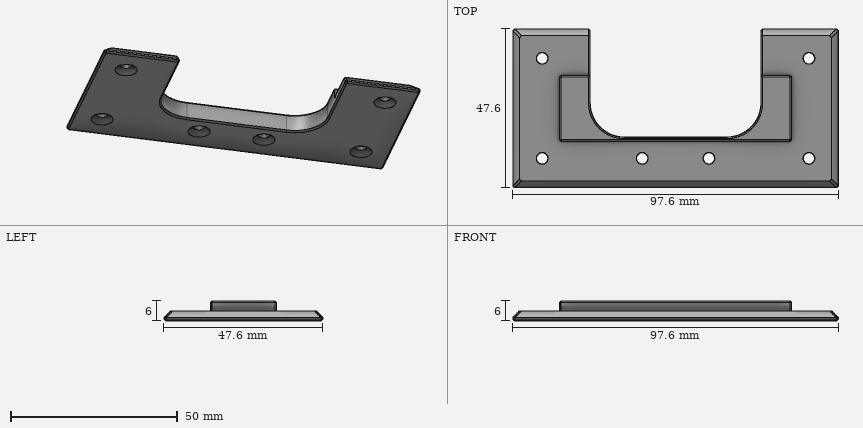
import cadquery as cq

plate_length = 97.6
plate_width = 47.6
plate_thickness = 3.0
plate_bevel = 2.0

collar_length = 69.6
collar_width = 19.8
collar_height = 3.0

opening_width = 51.2
opening_floor_y = -8.6
opening_corner_radius = 10.2

edge_break = 0.5

hole_diameter = 3.4
countersink_diameter = 6.6
outer_hole_x = 40.0
inner_hole_x = 10.0
hole_row_y = 15.0

total_height = plate_thickness + collar_height


def make_plate():
    """Rectangular plate with a wide bevel on top and broken corners."""
    plate = cq.Workplane("XY").box(
        plate_length, plate_width, plate_thickness, centered=(True, True, False)
    )
    plate = plate.faces(">Z").chamfer(plate_bevel)
    return plate.edges("not #Z").chamfer(edge_break)


def make_collar():
    """Raised block with broken upright edges, standing on the plate."""
    collar = cq.Workplane("XY").workplane(offset=plate_thickness)
    collar = collar.box(collar_length, collar_width, collar_height, centered=(True, True, False))
    return collar.edges("|Z").chamfer(edge_break)


def make_opening():
    """Cutter for the opening: rounded at the floor, running out past the +Y edge."""
    depth = plate_width - opening_floor_y
    cutter = cq.Workplane("XY").box(
        opening_width, depth, total_height, centered=(True, False, False)
    )
    cutter = cutter.translate((0, opening_floor_y, 0))
    return cutter.edges("|Z and <Y").fillet(opening_corner_radius)


def break_edges(body):
    """Chamfer the arm tips with their rims, the collar top and the underside outline."""
    margin = 0.1
    for side in (-1, 1):
        wall_x = side * opening_width / 2
        arm_edges = cq.selectors.BoxSelector(
            (wall_x - margin, collar_width / 2, margin),
            (wall_x + margin, plate_width / 2 + margin, plate_thickness + margin),
        )
        body = body.edges(arm_edges).chamfer(edge_break)
    body = body.faces(">Z").chamfer(edge_break)
    return body.faces("<Z").chamfer(edge_break)


def make_holes():
    """Cutters for the screw holes: four along the -Y side, two near the +Y corners."""
    centers = []
    for side in (-1, 1):
        centers.append((side * outer_hole_x, hole_row_y))
        centers.append((side * outer_hole_x, -hole_row_y))
        centers.append((side * inner_hole_x, -hole_row_y))
    shafts = cq.Workplane("XY").pushPoints(centers).circle(hole_diameter / 2).extrude(plate_thickness)
    countersink_depth = (countersink_diameter - hole_diameter) / 2
    cone = cq.Solid.makeCone(countersink_diameter / 2, hole_diameter / 2, countersink_depth)
    cones = cq.Workplane("XY").pushPoints(centers).eachpoint(lambda place: cone.located(place))
    return shafts.union(cones)


body = make_plate().union(make_collar()).cut(make_opening())
result = break_edges(body).cut(make_holes())